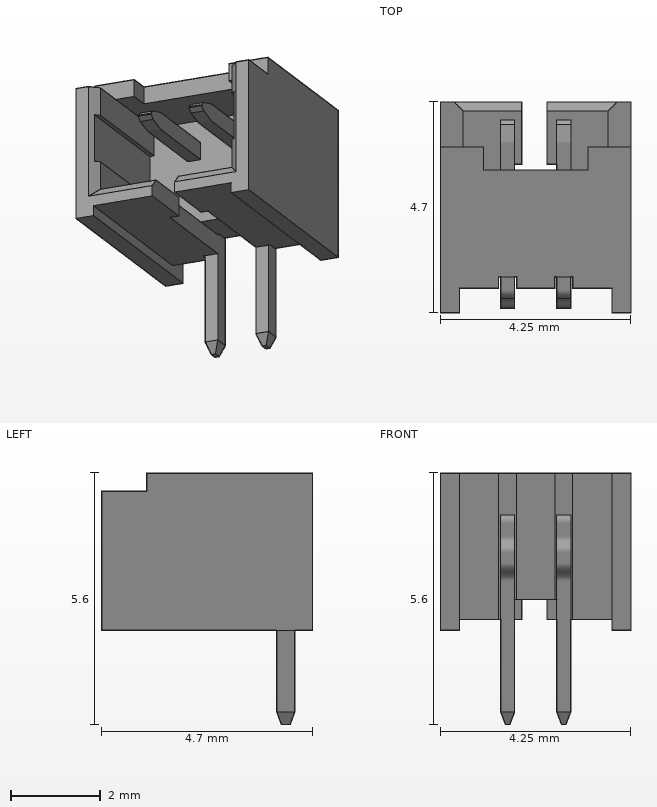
import cadquery as cq
import math

WIDTH = 4.25
DEPTH = 4.7
HEIGHT = 3.5

WING_THICKNESS = 0.43
REAR_RECESS = 0.545
FLOOR_LIFT = 0.235

SIDE_WALL = 0.51
FLOOR_THICKNESS = 0.45
ROOF_THICKNESS = 0.405
CAVITY_DEPTH = 3.0
MOUTH_CHAMFER = 0.2
SIDE_GROOVE_HEIGHT = 1.105
SIDE_GROOVE_DEPTH = 0.1
FLOOR_TOP = FLOOR_LIFT + FLOOR_THICKNESS
ROOF_UNDERSIDE = HEIGHT - ROOF_THICKNESS

ROOF_SETBACK = 1.0
ROOF_NOTCH_WIDTH = 2.33
ROOF_NOTCH_DEPTH = 0.515

FLOOR_SLIT_WIDTH = 0.555
FLOOR_SLIT_OFFSET = -0.03
FLOOR_SLIT_LENGTH = 1.395

PIN_PITCH = 1.25
PIN_WIDTH = 0.315
PIN_THICKNESS = 0.405
PIN_TOP = 2.57
PIN_BOTTOM = -2.1
SLOT_WIDTH = 0.4
SLOT_DEPTH = 0.26
SLOT_BACK = REAR_RECESS + SLOT_DEPTH
PIN_CENTRES = (-PIN_PITCH / 2, PIN_PITCH / 2)

BEND_RADIUS = 0.185
BULGE_RADIUS = 0.2
LEG_REAR = SLOT_BACK - PIN_THICKNESS
NECK_REAR = 0.315
BULGE_REAR = 0.1
NECK_STRAIGHT = 0.295
BULGE_STRAIGHT = 0.25

MATING_SETBACK = 0.405
MATING_TAPER_LENGTH = 0.405
MATING_TAPER_DROP = 0.1
MATING_CHAMFER_LENGTH = 0.105
MATING_CHAMFER_DROP = 0.09
SOLDER_TIP_LENGTH = 0.28
SOLDER_TIP_WIDTH = 0.1
SOLDER_TIP_THICKNESS = 0.2


def centred_box(width, y_start, y_end, z_start, z_end, x=0):
    """Box centred on x in width, between the given Y and Z limits."""
    box = cq.Workplane("XY").box(width, y_end - y_start, z_end - z_start, centered=(True, False, False))
    return box.translate((x, y_start, z_start))


def make_cavity():
    """Mating cavity with a groove along each side wall, flared on its floor and sides at the mouth."""
    width = WIDTH - 2 * SIDE_WALL
    cavity = centred_box(width, DEPTH - CAVITY_DEPTH, DEPTH, FLOOR_TOP, ROOF_UNDERSIDE)

    groove_bottom = (FLOOR_TOP + ROOF_UNDERSIDE - SIDE_GROOVE_HEIGHT) / 2
    groove_top = groove_bottom + SIDE_GROOVE_HEIGHT
    grooved_width = width + 2 * SIDE_GROOVE_DEPTH
    grooves = centred_box(grooved_width, DEPTH - CAVITY_DEPTH, DEPTH, groove_bottom, groove_top)

    flare_half_width = width / 2 + MOUTH_CHAMFER
    flare = (
        cq.Workplane("XZ", origin=(0, DEPTH, 0))
        .moveTo(-flare_half_width, HEIGHT)
        .lineTo(-flare_half_width, FLOOR_TOP - MOUTH_CHAMFER)
        .lineTo(flare_half_width, FLOOR_TOP - MOUTH_CHAMFER)
        .lineTo(flare_half_width, HEIGHT)
        .close()
        .extrude(MOUTH_CHAMFER, taper=45)
    )
    return cavity.union(grooves).union(flare)


def make_housing():
    """Plastic body without the pins."""
    inner_width = WIDTH - 2 * WING_THICKNESS
    roof_edge = DEPTH - ROOF_SETBACK
    pin_gap = PIN_PITCH - PIN_WIDTH
    slit_end = DEPTH - FLOOR_SLIT_LENGTH

    housing = centred_box(WIDTH, 0, DEPTH, 0, HEIGHT)
    housing = housing.cut(centred_box(inner_width, 0, REAR_RECESS, 0, HEIGHT))
    housing = housing.cut(centred_box(inner_width, 0, DEPTH, 0, FLOOR_LIFT))
    housing = housing.cut(make_cavity())
    housing = housing.cut(centred_box(WIDTH, roof_edge, DEPTH, ROOF_UNDERSIDE, HEIGHT))
    housing = housing.cut(
        centred_box(ROOF_NOTCH_WIDTH, roof_edge - ROOF_NOTCH_DEPTH, roof_edge, ROOF_UNDERSIDE, HEIGHT)
    )
    housing = housing.cut(centred_box(FLOOR_SLIT_WIDTH, slit_end, DEPTH, 0, FLOOR_TOP, FLOOR_SLIT_OFFSET))
    housing = housing.cut(centred_box(pin_gap, 0, slit_end, 0, FLOOR_TOP))
    for x in PIN_CENTRES:
        housing = housing.cut(centred_box(SLOT_WIDTH, REAR_RECESS, SLOT_BACK, 0, HEIGHT, x))
    return housing


def add_s_curve(sketch, y, z, y_step):
    """Append two equal arcs going down, vertical at both ends and shifted by y_step.

    Returns the sketch and the height at which the curve ends.
    """
    half_step = abs(y_step) / 2
    half_drop = math.sqrt(2 * BULGE_RADIUS * half_step - half_step**2)
    sign = math.copysign(1, y_step)
    half_angle = math.acos(1 - half_step / BULGE_RADIUS) / 2
    mid_y = sign * BULGE_RADIUS * (1 - math.cos(half_angle))
    mid_z = BULGE_RADIUS * math.sin(half_angle)
    end_y = y + y_step
    end_z = z - 2 * half_drop
    sketch = sketch.threePointArc((y + mid_y, z - mid_z), (y + y_step / 2, z - half_drop))
    sketch = sketch.threePointArc((end_y - mid_y, end_z + mid_z), (end_y, end_z))
    return sketch, end_z


def make_pin():
    """L-shaped pin centred on X = 0, with a bulged bend and a pointed solder tip."""
    mating_end = DEPTH - MATING_SETBACK
    chamfer_start = mating_end - MATING_CHAMFER_LENGTH
    taper_start = chamfer_start - MATING_TAPER_LENGTH
    underside = PIN_TOP - PIN_THICKNESS
    end_drop = MATING_TAPER_DROP + MATING_CHAMFER_DROP
    tip_shoulder = PIN_BOTTOM + SOLDER_TIP_LENGTH
    arc_offset = BEND_RADIUS * (1 - math.sqrt(0.5))

    neck_top = PIN_TOP - BEND_RADIUS
    neck_bottom = neck_top - NECK_STRAIGHT
    bend = (
        cq.Workplane("YZ", origin=(-PIN_WIDTH / 2, 0, 0))
        .moveTo(NECK_REAR + BEND_RADIUS, PIN_TOP)
        .threePointArc((NECK_REAR + arc_offset, PIN_TOP - arc_offset), (NECK_REAR, neck_top))
        .lineTo(NECK_REAR, neck_bottom)
    )
    bend, bulge_top = add_s_curve(bend, NECK_REAR, neck_bottom, BULGE_REAR - NECK_REAR)
    bulge_bottom = bulge_top - BULGE_STRAIGHT
    bend = bend.lineTo(BULGE_REAR, bulge_bottom)
    bend, _ = add_s_curve(bend, BULGE_REAR, bulge_bottom, LEG_REAR - BULGE_REAR)
    body = (
        bend.lineTo(LEG_REAR, tip_shoulder)
        .lineTo(SLOT_BACK, tip_shoulder)
        .lineTo(SLOT_BACK, underside)
        .lineTo(taper_start, underside)
        .lineTo(chamfer_start, underside + MATING_TAPER_DROP)
        .lineTo(mating_end, underside + end_drop)
        .lineTo(mating_end, PIN_TOP - end_drop)
        .lineTo(chamfer_start, PIN_TOP - MATING_TAPER_DROP)
        .lineTo(taper_start, PIN_TOP)
        .close()
        .extrude(PIN_WIDTH)
    )

    leg_centre = SLOT_BACK - PIN_THICKNESS / 2
    tip = (
        cq.Workplane("XY", origin=(0, leg_centre, tip_shoulder))
        .rect(PIN_WIDTH, PIN_THICKNESS)
        .workplane(offset=-SOLDER_TIP_LENGTH)
        .rect(SOLDER_TIP_WIDTH, SOLDER_TIP_THICKNESS)
        .loft()
    )
    return body.union(tip)


result = make_housing()
for x in PIN_CENTRES:
    result = result.union(make_pin().translate((x, 0, 0)))